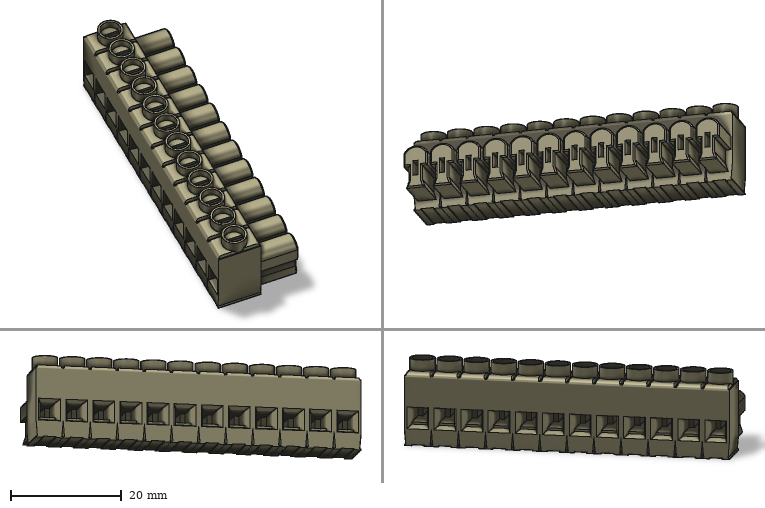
import cadquery as cq

pole_count = 12
length = 60.0
pitch = length / pole_count
pole_centers = [(i + 0.5) * pitch for i in range(pole_count)]
pole_joints = [i * pitch for i in range(pole_count + 1)]

body_depth = 8.45
body_top = 13.45
shoulder_radius = 0.9

groove_top_width = 0.8
groove_floor_width = 0.35
groove_floor_z = 12.9

gap_top_z = 3.1
gap_low_z = 0.3
gap_width = 0.5
foot_web = 0.1
foot_recess_width = 2.35
foot_recess_height = 0.2

collar_top = 15.5
collar_diameter = 4.6
screw_diameter = 3.8
screw_recess = 1.5
driver_slot_width = 0.9
driver_slot_depth = 0.6

entry_width = 4.0
entry_low_z = 3.1
entry_high_z = 7.15
funnel_depth = 1.8
funnel_end_low_z = 3.6
chamber_width = 2.9
chamber_low_z = 4.0
chamber_high_z = 6.8
chamber_depth = 7.2
contact_slot_width = 0.95

plug_back = 16.0
plug_half_width = 2.2
plug_neck_half_width = 1.25
plug_foot_half_width = 1.75
plug_top = 9.65
plug_shoulder_z = 8.35
plug_step_z = 5.8
plug_neck_low_z = 3.1
plug_bottom = 1.7
plug_chamfer = 0.3
plug_overlap = 0.6


def box(x_center, width, y0, y1, z0, z1):
    """Box centred on x_center and spanning the given Y and Z ranges."""
    corner = (x_center - width / 2, y0, z0)
    return cq.Workplane("XY").box(width, y1 - y0, z1 - z0, centered=False).translate(corner)


def make_housing():
    """Full-length housing with rounded front and back shoulders."""
    block = cq.Workplane("XY").box(length, body_depth, body_top, centered=False)
    return block.edges("|X and >Z").fillet(shoulder_radius)


def make_joint_cuts(x):
    """Cutters for the top groove and foot gap that separate two poles at x."""
    groove = (
        cq.Workplane("XZ", origin=(x, 0, 0))
        .moveTo(-groove_floor_width / 2, groove_floor_z)
        .lineTo(groove_floor_width / 2, groove_floor_z)
        .lineTo(groove_top_width / 2, body_top)
        .lineTo(-groove_top_width / 2, body_top)
        .close()
        .extrude(-body_depth)
    )
    gap = (
        cq.Workplane("XZ", origin=(x, 0, 0))
        .moveTo(0, gap_top_z)
        .lineTo(gap_width / 2, gap_low_z)
        .lineTo(0, foot_web)
        .lineTo(-gap_width / 2, gap_low_z)
        .close()
        .extrude(-body_depth)
    )
    return [groove, gap]


def make_plug(x):
    """Plug nose: arched top, narrower neck and a foot that flares downward."""
    right_side = [
        (plug_half_width, plug_shoulder_z),
        (plug_half_width, plug_step_z),
        (plug_neck_half_width, plug_step_z),
        (plug_neck_half_width, plug_neck_low_z),
        (plug_foot_half_width, plug_bottom),
    ]
    left_side = [(-px, pz) for px, pz in reversed(right_side)]
    start = body_depth - plug_overlap
    return (
        cq.Workplane("XZ", origin=(x, start, 0))
        .polyline(right_side + left_side)
        .threePointArc((0, plug_top), right_side[0])
        .close()
        .extrude(start - plug_back)
        .faces(">Y")
        .chamfer(plug_chamfer)
    )


def make_collar(x):
    """Solid collar standing on the housing above the screw."""
    return (
        cq.Workplane("XY", origin=(x, body_depth / 2, groove_floor_z))
        .circle(collar_diameter / 2)
        .extrude(collar_top - groove_floor_z)
    )


def make_screw_cut(x):
    """Recess down to the screw head, with the driver slot across the head."""
    head_z = collar_top - screw_recess
    slot_floor_z = head_z - driver_slot_depth
    bore = (
        cq.Workplane("XY", origin=(x, body_depth / 2, slot_floor_z))
        .circle(screw_diameter / 2)
        .extrude(collar_top - slot_floor_z)
    )
    recess = bore.intersect(box(x, pitch, 0, body_depth, head_z, collar_top))
    slot = bore.intersect(box(x, driver_slot_width, 0, body_depth, slot_floor_z, collar_top))
    return recess.union(slot)


def make_entry_cut(x):
    """Wire funnel, clamping chamber and contact slot out to the plug end."""
    entry_height = entry_high_z - entry_low_z
    funnel_end_height = chamber_high_z - funnel_end_low_z
    funnel_end_shift = (funnel_end_low_z + chamber_high_z - entry_low_z - entry_high_z) / 2
    funnel = (
        cq.Workplane("XZ", origin=(x, 0, (entry_low_z + entry_high_z) / 2))
        .rect(entry_width, entry_height)
        .workplane(offset=-funnel_depth)
        .center(0, funnel_end_shift)
        .rect(chamber_width, funnel_end_height)
        .loft(ruled=True)
    )
    chamber = box(x, chamber_width, funnel_depth, chamber_depth, chamber_low_z, chamber_high_z)
    slot = box(x, contact_slot_width, funnel_depth, plug_back, chamber_low_z, chamber_high_z)
    return funnel.union(chamber).union(slot)


result = make_housing()
for joint in pole_joints:
    for cutter in make_joint_cuts(joint):
        result = result.cut(cutter)
for center in pole_centers:
    result = result.union(make_plug(center)).union(make_collar(center))
for center in pole_centers:
    result = result.cut(make_screw_cut(center)).cut(make_entry_cut(center))
    result = result.cut(box(center, foot_recess_width, 0, body_depth, 0, foot_recess_height))